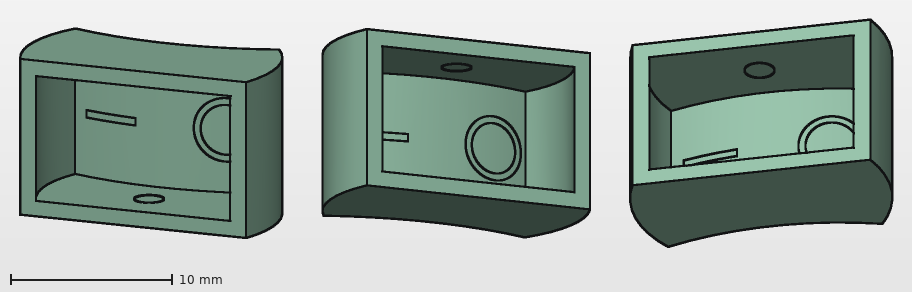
import cadquery as cq

length = 16.31
depth = 8.0
height = 10.0
wall = 1.0

front_left = 0.72
front_right = 15.77
back_left = 1.24
back_right = 14.81
left_bulge_y = 3.52
right_bulge_y = 3.0
back_dip = 1.17

cavity_front_left = 1.78
cavity_front_right = 14.71
cavity_back_left = 1.68
cavity_back_right = 14.37
cavity_back_y = 6.83

mark_depth = 0.05
bar_x = 4.29
bar_length = 3.52
bar_width = 0.47
ring_x = 11.97
ring_outer_radius = 2.04
ring_inner_radius = 1.6
pivot_x = 8.09
pivot_y = 3.08
pivot_diameter = 1.86


def plan_outline(front_xs, back_xs, bulge_xs, back_y, dip_y):
    """Flat front, two bulging ends and a concave back; each pair is left, right."""
    back_middle = (sum(back_xs) / 2, dip_y)
    return (
        cq.Workplane("XY")
        .moveTo(front_xs[0], 0)
        .lineTo(front_xs[1], 0)
        .threePointArc((bulge_xs[1], right_bulge_y), (back_xs[1], back_y))
        .threePointArc(back_middle, (back_xs[0], back_y))
        .threePointArc((bulge_xs[0], left_bulge_y), (front_xs[0], 0))
        .close()
    )


body = plan_outline(
    (front_left, front_right), (back_left, back_right), (0, length), depth, depth - back_dip
).extrude(height)

cavity = plan_outline(
    (cavity_front_left, cavity_front_right),
    (cavity_back_left, cavity_back_right),
    (wall, length - wall),
    cavity_back_y,
    depth - back_dip - wall,
).extrude(height - 2 * wall).translate((0, 0, wall))


def back_marks():
    """Bar and ring sunk to an even depth in the concave inner back wall."""
    back_plane = cq.Workplane("XZ", origin=(0, depth, height / 2))
    bar = back_plane.center(bar_x, 0).rect(bar_length, bar_width).extrude(depth)
    ring = (
        back_plane.center(ring_x, 0)
        .circle(ring_outer_radius)
        .circle(ring_inner_radius)
        .extrude(depth)
    )
    return bar.union(ring).intersect(cavity.translate((0, mark_depth, 0)))


def pivot_marks():
    """Matching round recesses in the floor and the ceiling of the cavity."""
    return (
        cq.Workplane("XY", origin=(pivot_x, pivot_y, wall - mark_depth))
        .circle(pivot_diameter / 2)
        .extrude(height - 2 * (wall - mark_depth))
    )


result = body.cut(cavity).cut(back_marks()).cut(pivot_marks())